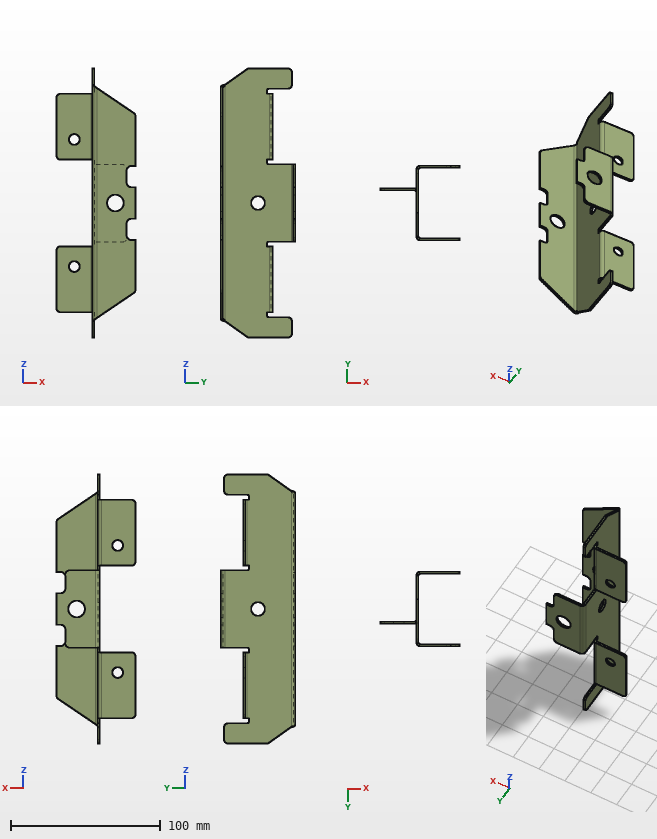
import cadquery as cq
import math

sheet = 1.5
height = 180.0
width = 50.0
flange_reach = 29.0
tab_reach = 24.0
flange_bend_radius = 2.9
tab_bend_radius = 0.9
corner_radius = 3.0
half_height = height / 2

arm_tip_y = 47.9
arm_bottom_z = 76.3
slope_start_y = 18.4
slope_bend_z = 79.0
web_hole_diameter = 9.0
web_hole_y = width / 2

tab_face_y = 35.0
tab_bottom_z = 29.0
tab_height = 44.1
tab_corner_radius = 2.7
tab_hole_diameter = 7.0
tab_hole_z = 42.5
relief_end_y = 31.1
relief_radius = 1.0
rear_flange_half_height = 26.0

flange_end_z = 59.4
flange_tip_radius = 2.7
notch_floor_x = 23.0
notch_center_z = 17.6
notch_height = 14.0
flange_hole_diameter = 11.0
flange_hole_x = 15.5

SIDES = (-1, 1)


def box(x_range, y_range, z_range):
    """Box between limits given in any order."""
    limits = [sorted(pair) for pair in (x_range, y_range, z_range)]
    sizes = [high - low for low, high in limits]
    corner = tuple(low for low, high in limits)
    return cq.Workplane("XY").box(*sizes, centered=False).translate(corner)


def cylinder(plane, origin, diameter):
    """Cylinder long enough to pass through the part, centred on its origin."""
    return cq.Workplane(plane, origin=origin).circle(diameter / 2).extrude(width, both=True)


def channel():
    """Bent U-section with both flanges pointing to +X."""
    z_range = (-half_height, half_height)
    outer = box((0, flange_reach), (0, width), z_range)
    outer = outer.edges("|Z and <X").fillet(flange_bend_radius)
    inner = box((sheet, flange_reach), (sheet, width - sheet), z_range)
    inner = inner.edges("|Z and <X").fillet(flange_bend_radius - sheet)
    return outer.cut(inner)


def arm(side):
    """Flat arm at one end of the web, rounded at its tip."""
    blank = box((0, sheet), (width / 2, arm_tip_y), (side * arm_bottom_z, side * half_height))
    return blank.edges("|X and >Y").fillet(corner_radius)


def web_slope_cut(side):
    """Slope of the web end, between the bend and the arm."""
    return (
        cq.Workplane("YZ")
        .moveTo(flange_bend_radius, side * slope_bend_z)
        .lineTo(slope_start_y, side * half_height)
        .lineTo(flange_bend_radius, side * half_height)
        .close()
        .extrude(sheet)
    )


def web_opening(side):
    """Opening from the rear flange to the arm, with rounded relief slots beside the tab."""
    z_range = (side * rear_flange_half_height, side * arm_bottom_z)
    opening = box((0, flange_reach), (relief_end_y, width), z_range)
    return opening.edges("|X and <Y").fillet(relief_radius)


def rear_end_cut(side):
    """Clears the rear bend and flange beyond the opening, where the flat arm goes."""
    z_range = (side * arm_bottom_z, side * half_height)
    return box((0, flange_reach), (width / 2, width), z_range)


def flange_end_cut(side):
    """Slope of the front flange end, carried across the bend."""
    return (
        cq.Workplane("XZ")
        .moveTo(0, side * slope_bend_z)
        .lineTo(flange_reach, side * flange_end_z)
        .lineTo(flange_reach, side * half_height)
        .lineTo(0, side * half_height)
        .close()
        .extrude(-flange_bend_radius)
    )


def front_notch(side):
    """Open notch with rounded inner corners in the front flange."""
    bottom_z = side * notch_center_z - notch_height / 2
    z_range = (bottom_z, bottom_z + notch_height)
    notch = box((notch_floor_x, flange_reach), (0, width / 2), z_range)
    return notch.edges("|Y and <X").fillet(corner_radius)


def rear_flange_step(side):
    """Step at the end of the rear flange: a rounded inner corner, then a rounded outer corner."""
    inner_z = notch_center_z - notch_height / 2
    end_z = rear_flange_half_height
    bend = corner_radius * (1 - math.sqrt(0.5))
    return (
        cq.Workplane("XZ", origin=(0, width, 0))
        .moveTo(flange_reach, side * inner_z)
        .lineTo(notch_floor_x + corner_radius, side * inner_z)
        .threePointArc(
            (notch_floor_x + bend, side * (inner_z + bend)),
            (notch_floor_x, side * (inner_z + corner_radius)),
        )
        .lineTo(notch_floor_x, side * (end_z - corner_radius))
        .threePointArc(
            (notch_floor_x - bend, side * (end_z - bend)),
            (notch_floor_x - corner_radius, side * end_z),
        )
        .lineTo(flange_reach, side * end_z)
        .close()
        .extrude(sheet)
    )


def tab(side):
    """Tab bent toward -X, with its bend and the short strip joining it to the web."""
    z_range = (side * tab_bottom_z, side * (tab_bottom_z + tab_height))
    inner_face_y = tab_face_y - sheet
    body = box((-tab_reach, sheet), (relief_end_y, tab_face_y), z_range)
    body = body.edges("|Z and >X and >Y").fillet(tab_bend_radius + sheet)
    clearance = box((-tab_reach, 0), (relief_end_y - sheet, inner_face_y), z_range)
    clearance = clearance.edges("|Z and >X and >Y").fillet(tab_bend_radius)
    body = body.cut(clearance)
    body = body.edges("|Y and <X").fillet(tab_corner_radius)
    return body.cut(cylinder("XZ", (-tab_reach / 2, 0, side * tab_hole_z), tab_hole_diameter))


bracket = channel()
for side in SIDES:
    bracket = bracket.cut(rear_end_cut(side)).union(arm(side))
    bracket = bracket.cut(web_slope_cut(side)).cut(web_opening(side))
    bracket = bracket.cut(flange_end_cut(side))

front_flange_tips = bracket.faces(">X").edges("|Y").edges(">Z or <Z")
bracket = front_flange_tips.fillet(flange_tip_radius)

for side in SIDES:
    bracket = bracket.cut(front_notch(side)).cut(rear_flange_step(side))

bracket = bracket.cut(cylinder("YZ", (0, web_hole_y, 0), web_hole_diameter))
bracket = bracket.cut(cylinder("XZ", (flange_hole_x, width / 2, 0), flange_hole_diameter))

for side in SIDES:
    bracket = bracket.union(tab(side))

result = bracket